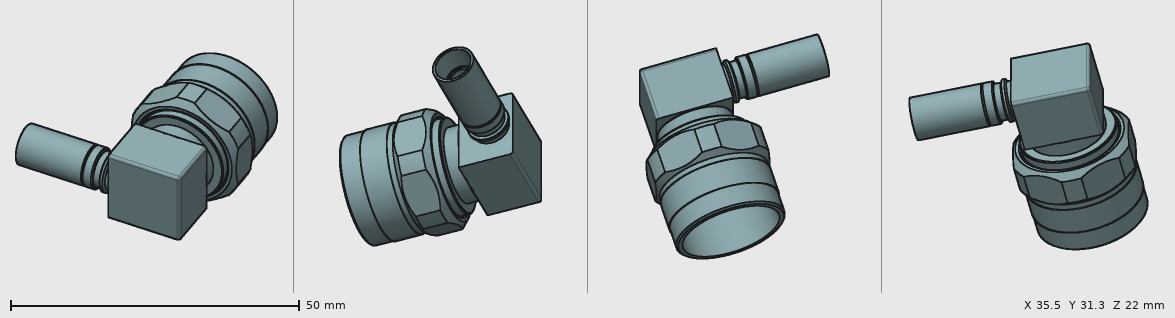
import cadquery as cq


BLOCK_SIDE = 14.0
BLOCK_BACK_Y = -3.98
BLOCK_FRONT_Y = 6.1
BLOCK_FILLET = 0.55

NUT_REAR_Y = 10.35
HEX_FRONT_Y = 17.3
BAND_REAR_Y = 18.35
BAND_FRONT_Y = 23.33
NUT_FRONT_Y = 27.3
NUT_RADIUS = 9.9
BAND_RADIUS = 10.05
NUT_END_CHAMFER = 0.32
HEX_ACROSS_FLATS = 20.6
HEX_CORNER_RADIUS = 11.0
HEX_REAR_FACE_RADIUS = 9.73
NUT_BORE_RADIUS = 8.85
NUT_BORE_CHAMFER = 0.3

STEM_RADIUS = 6.85
STEM_FOOT_CHAMFER = 0.18
FLANGE_REAR_Y = 8.95
FLANGE_RADIUS = 8.7
FLANGE_CHAMFER = 0.2

TAIL_RADIUS = 3.8
NECK_RADIUS = 3.3
RING_INNER_X = -8.0
RING_OUTER_X = -9.05
RING_CREST_WIDTH = 0.5
COLLAR_INNER_X = -10.25
COLLAR_OUTER_X = -12.45
COLLAR_INNER_CHAMFER = 0.25
COLLAR_OUTER_CHAMFER = 0.4
SLEEVE_END_X = -25.2

SLEEVE_BORE_RADIUS = 3.3
NECK_TIP_X = -15.98
NECK_TIP_CHAMFER = 0.15
BARREL_TIP_X = -21.52
BARREL_RADIUS = 2.77
BARREL_CHAMFER = 0.2
CABLE_BORE_RADIUS = 2.0
CABLE_BORE_COUNTERSINK = 0.2


def turned_about_y(profile):
    """Solid turned about the Y axis from (radius, y) points."""
    return cq.Workplane("XY").polyline(profile).close().revolve(360, (0, 0, 0), (0, 1, 0))


def turned_about_x(profile):
    """Solid turned about the X axis from (x, radius) points."""
    return cq.Workplane("XY").polyline(profile).close().revolve(360, (0, 0, 0), (1, 0, 0))


def elbow_block():
    """Square block, rounded on every edge of its back and +X faces except those on -X and +Y."""
    depth = BLOCK_FRONT_Y - BLOCK_BACK_Y
    block = cq.Workplane("XY").box(BLOCK_SIDE, depth, BLOCK_SIDE)
    block = block.translate((0, BLOCK_BACK_Y + depth / 2, 0))
    rounded_edges = "(<Y and (|X or >X)) or (>X and |Y)"
    return block.edges(rounded_edges).fillet(BLOCK_FILLET)


def stem_and_flange():
    """Stem with a chamfered foot, the flange, and the seat that plugs the nut bore inside the hex."""
    seat_y = NUT_REAR_Y + NUT_BORE_CHAMFER
    return turned_about_y([
        (0, BLOCK_FRONT_Y),
        (STEM_RADIUS - STEM_FOOT_CHAMFER, BLOCK_FRONT_Y),
        (STEM_RADIUS, BLOCK_FRONT_Y + STEM_FOOT_CHAMFER),
        (STEM_RADIUS, FLANGE_REAR_Y),
        (FLANGE_RADIUS - FLANGE_CHAMFER, FLANGE_REAR_Y),
        (FLANGE_RADIUS, FLANGE_REAR_Y + FLANGE_CHAMFER),
        (FLANGE_RADIUS, seat_y),
        (NUT_BORE_RADIUS, seat_y),
        (NUT_BORE_RADIUS, HEX_FRONT_Y),
        (0, HEX_FRONT_Y),
    ])


def crimp_tail():
    """Neck with ring and collar, the thin sleeve, and the hollow barrel inside the sleeve."""
    crest_inset = (RING_INNER_X - RING_OUTER_X - RING_CREST_WIDTH) / 2
    return turned_about_x([
        (0, 0),
        (0, NECK_RADIUS),
        (RING_INNER_X, NECK_RADIUS),
        (RING_INNER_X - crest_inset, TAIL_RADIUS),
        (RING_OUTER_X + crest_inset, TAIL_RADIUS),
        (RING_OUTER_X, NECK_RADIUS),
        (COLLAR_INNER_X, NECK_RADIUS),
        (COLLAR_INNER_X, TAIL_RADIUS - COLLAR_INNER_CHAMFER),
        (COLLAR_INNER_X - COLLAR_INNER_CHAMFER, TAIL_RADIUS),
        (COLLAR_OUTER_X + COLLAR_OUTER_CHAMFER, TAIL_RADIUS),
        (COLLAR_OUTER_X, TAIL_RADIUS - COLLAR_OUTER_CHAMFER),
        (COLLAR_OUTER_X, TAIL_RADIUS),
        (SLEEVE_END_X, TAIL_RADIUS),
        (SLEEVE_END_X, SLEEVE_BORE_RADIUS),
        (NECK_TIP_X + NECK_TIP_CHAMFER, NECK_RADIUS),
        (NECK_TIP_X, NECK_RADIUS - NECK_TIP_CHAMFER),
        (NECK_TIP_X, BARREL_RADIUS),
        (BARREL_TIP_X + BARREL_CHAMFER, BARREL_RADIUS),
        (BARREL_TIP_X, BARREL_RADIUS - BARREL_CHAMFER),
        (BARREL_TIP_X, CABLE_BORE_RADIUS + CABLE_BORE_COUNTERSINK),
        (BARREL_TIP_X + CABLE_BORE_COUNTERSINK, CABLE_BORE_RADIUS),
        (-BLOCK_SIDE / 2, CABLE_BORE_RADIUS),
        (-BLOCK_SIDE / 2, 0),
    ])


def make_connector_body():
    return elbow_block().union(stem_and_flange()).union(crimp_tail())


def hex_section():
    """Hexagon with flats on +X and -X, its corners turned round and both ends coned at 45 degrees."""
    rear_cone = HEX_CORNER_RADIUS - HEX_REAR_FACE_RADIUS
    front_cone = HEX_CORNER_RADIUS - NUT_RADIUS
    blank = turned_about_y([
        (0, NUT_REAR_Y),
        (HEX_REAR_FACE_RADIUS, NUT_REAR_Y),
        (HEX_CORNER_RADIUS, NUT_REAR_Y + rear_cone),
        (HEX_CORNER_RADIUS, HEX_FRONT_Y - front_cone),
        (NUT_RADIUS, HEX_FRONT_Y),
        (0, HEX_FRONT_Y),
    ])
    prism = (
        cq.Workplane("XZ", origin=(0, NUT_REAR_Y, 0))
        .polygon(6, HEX_ACROSS_FLATS, circumscribed=True)
        .extrude(NUT_REAR_Y - HEX_FRONT_Y)
    )
    return blank.intersect(prism)


def nut_barrel():
    """Round front part of the nut with its slightly raised band and chamfered open end."""
    return turned_about_y([
        (0, HEX_FRONT_Y),
        (NUT_RADIUS, HEX_FRONT_Y),
        (NUT_RADIUS, BAND_REAR_Y),
        (BAND_RADIUS, BAND_REAR_Y),
        (BAND_RADIUS, BAND_FRONT_Y),
        (NUT_RADIUS, BAND_FRONT_Y),
        (NUT_RADIUS, NUT_FRONT_Y - NUT_END_CHAMFER),
        (NUT_RADIUS - NUT_END_CHAMFER, NUT_FRONT_Y),
        (0, NUT_FRONT_Y),
    ])


def nut_bore():
    """Through bore that fits the flange seat, chamfered where it opens at the rear."""
    return turned_about_y([
        (0, NUT_REAR_Y),
        (NUT_BORE_RADIUS + NUT_BORE_CHAMFER, NUT_REAR_Y),
        (NUT_BORE_RADIUS, NUT_REAR_Y + NUT_BORE_CHAMFER),
        (NUT_BORE_RADIUS, NUT_FRONT_Y),
        (0, NUT_FRONT_Y),
    ])


def make_coupling_nut():
    return hex_section().union(nut_barrel()).cut(nut_bore())


connector_body = make_connector_body()
coupling_nut = make_coupling_nut()

result = cq.Compound.makeCompound([connector_body.val(), coupling_nut.val()])